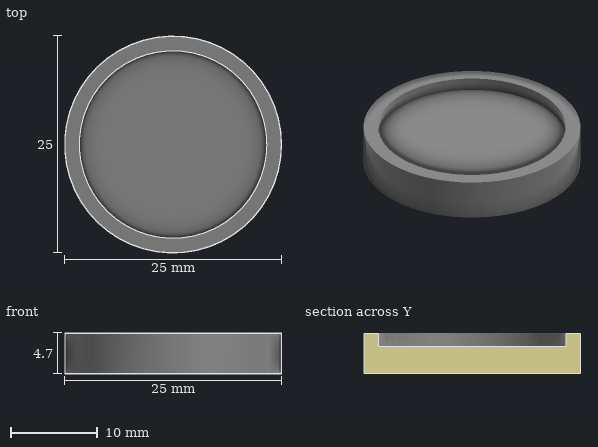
import cadquery as cq

outer_diameter = 25.0
height = 4.7
recess_diameter = 21.6
recess_depth = 1.5

disc = cq.Workplane("XY").circle(outer_diameter / 2).extrude(height)

result = (
    disc.faces(">Z")
    .workplane()
    .circle(recess_diameter / 2)
    .cutBlind(-recess_depth)
)